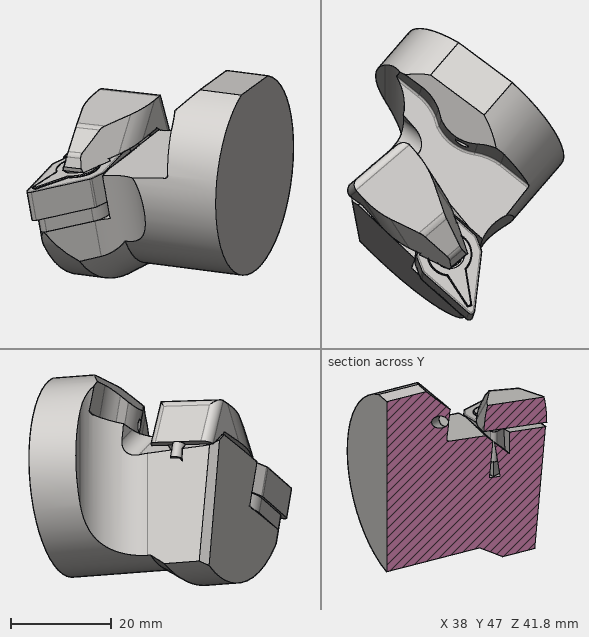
import cadquery as cq
import math


SHANK_RADIUS = 20.005
SHANK_FRONT_X = -21.0
HEAD_RADIUS = 23.0
HEAD_OFFSET_Y = SHANK_RADIUS - HEAD_RADIUS
HEAD_BLANK_LENGTH = 28.2
CONE_ANGLE = 32.0
FLAT_Z = 18.8
FLAT_FRONT_X = -8.95
CUT_SIZE = 94.0

RELIEF_X = -10.0
RELIEF_Y = 7.25
RELIEF_RADIUS = 10.4
CORNER_CHAMFER = 1.6
CORNER_CHAMFER_X = -34.9
CORNER_CHAMFER_TILT = 5.4

SEAT_CENTER = (-31.35, -16.0, 2.4)
SEAT_RISE_X = 0.105
SEAT_RISE_Y = 0.17
SEAT_NORMAL = cq.Vector(-SEAT_RISE_X, -SEAT_RISE_Y, 1)
SEAT = cq.Plane(origin=SEAT_CENTER, xDir=(1, 0, SEAT_RISE_X), normal=SEAT_NORMAL)

SIDE_EDGE_ANGLE = 32.0
FRONT_EDGE_ANGLE = SIDE_EDGE_ANGLE + 55.0
LONG_AXIS_ANGLE = (SIDE_EDGE_ANGLE + FRONT_EDGE_ANGLE) / 2
INSERT_HALF_WIDTH = 6.35
INSERT_HALF_SHORT = 6.3
INSERT_THICKNESS = 6.35
NOSE_RADIUS = 0.75
OBTUSE_RADIUS = 0.95
OBTUSE_REACH = INSERT_HALF_WIDTH + 0.95
LAND_WIDTH = 0.35
LAND_DROP = 0.1
BOSS_RADIUS = 4.45
BOSS_HEIGHT = 0.35
BOSS_TIP_REACH = 11.3
BOSS_ROOT_REACH = 3.95
BOSS_ROOT_HALF_WIDTH = 2.0
BOSS_TIP_HALF_WIDTH = 0.45
BOSS_CHAMFER = 0.2
HOLE_DIAMETER = 5.1
HOLE_MOUTH_DIAMETER = 6.0
HOLE_MOUTH_ANGLE = 90.0

SHIM_THICKNESS = 3.15
SHIM_HALF_WIDTH = 5.8
SHIM_CORNER_RADIUS = 4.7
POCKET_HALF_WIDTH = INSERT_HALF_WIDTH + 0.38
POCKET_DEPTH = INSERT_THICKNESS + SHIM_THICKNESS

DECK_HEIGHT = -0.05
FRONT_FACE_ANGLE = 85.0
FRONT_FACE_DISTANCE = 5.5
FLANK_DISTANCE = 5.75
HEAD_NOSE_RADIUS = 1.1
FLANK_ARC_START = 0.85
FLANK_ARC_RADIUS = 10.0
WALL_UPPER_X = 21.45
WALL_UPPER_Y = 24.8
WALL_UPPER_BEND = (20.05, 19.45)
WALL_BULGE_START = (18.9, 17.7)
WALL_BULGE_PEAK = (18.0, 14.05)
WALL_BULGE_END = (19.25, 8.95)
WALL_LOWER_BEND = (20.85, 3.52)
WALL_FILLET = 0.45

COOLANT_DIAMETER = 2.5
COOLANT_MOUTH = (-13.9, -5.15, 10.25)
COOLANT_TARGET = (-37.15, -26.3, 0.0)
COOLANT_DEPTH = 4.7

CLAMP_ANGLE = -10.0
CLAMP_CENTER = 0.35
CLAMP_HALF_WIDTH = 7.1
CLAMP_TOP = 6.6
CLAMP_SLANT = 47.5
CHEEK_ANGLE = 32.0
CHEEK_RADIUS = 8.95
CHEEK_START_Y = 19.25
CLAMP_NOSE_Y = -2.35
CLAMP_NOSE_HEIGHT = 1.18
CLAMP_BROW = (-1.05, 3.5)
CLAMP_CREST_Y = 5.75
CLAMP_BACK_TOP_Y = 22.7
CLAMP_BACK_FOOT_Y = 23.85
CLAMP_FOOT = -2.95
CLAMP_BACK_FILLET = 1.8
CREST_FILLET = 3.3
BROW_FILLET = 1.9
PAD_END_Y = 3.75
CLAMP_UNDERSIDE = 0.8

GROOVE_TOP_Y = 19.3
GROOVE_SIDE_X = 11.35
GROOVE_FILLET = 3.2

SCREW_DIAMETER = 2.5
SCREW_X = 0.45
SCREW_Y = 22.65
SCREW_END = -6.1


def in_seat(shape):
    """Move a shape from insert coordinates to its place in the tool."""
    return cq.Workplane(shape.val().moved(SEAT.location))


def in_clamp(shape):
    """Move a shape from clamp coordinates to its place in the tool."""
    turned = shape.translate((CLAMP_CENTER, 0, 0)).rotate((0, 0, 0), (0, 0, 1), CLAMP_ANGLE)
    return in_seat(turned)


def on_line(angle, distance, along):
    """Point on the line that runs at an angle, keeps a distance to the right of the origin."""
    a = math.radians(angle)
    return (
        distance * math.sin(a) + along * math.cos(a),
        along * math.sin(a) - distance * math.cos(a),
    )


def line_crossing(angle_a, distance_a, angle_b, distance_b):
    """Crossing point of two such lines."""
    turn = math.radians(angle_b - angle_a)
    along = (distance_b - distance_a * math.cos(turn)) / math.sin(turn)
    return on_line(angle_a, distance_a, along)


def near(point, height):
    """Selector for the edge next to a point of an outline."""
    return cq.selectors.NearestToPointSelector((*point, height))


def rhombus_corners(half_width):
    """Corners in order: cutting nose, obtuse corner, inner nose, obtuse corner."""
    return [
        line_crossing(SIDE_EDGE_ANGLE, side * half_width, FRONT_EDGE_ANGLE, front * half_width)
        for side, front in ((1, -1), (1, 1), (-1, 1), (-1, -1))
    ]


def rhombus(half_width, height):
    """Prism with the full rhombus as its plan, its top on local z = 0."""
    return cq.Workplane("XY").polyline(rhombus_corners(half_width)).close().extrude(-height)


def shank():
    return cq.Workplane("YZ").circle(SHANK_RADIUS).extrude(SHANK_FRONT_X)


def head():
    """Offset cylinder that blends into the shank along a cone around the shank axis."""
    cone_radius = SHANK_RADIUS + HEAD_BLANK_LENGTH * math.tan(math.radians(CONE_ANGLE))
    front_x = SHANK_FRONT_X - HEAD_BLANK_LENGTH
    cone = (
        cq.Workplane("XY")
        .polyline([(SHANK_FRONT_X, 0), (SHANK_FRONT_X, SHANK_RADIUS), (front_x, cone_radius), (front_x, 0)])
        .close()
        .revolve(360, (0, 0, 0), (1, 0, 0))
    )
    cylinder = (
        cq.Workplane("YZ", origin=(SHANK_FRONT_X, HEAD_OFFSET_Y, 0))
        .circle(HEAD_RADIUS)
        .extrude(-HEAD_BLANK_LENGTH)
    )
    return cone.intersect(cylinder)


def head_envelope():
    """Prism along the insert axis: front face, rounded nose, flat flank and concave run-out."""
    nose = line_crossing(SIDE_EDGE_ANGLE, FLANK_DISTANCE, FRONT_FACE_ANGLE, -FRONT_FACE_DISTANCE)
    front_end = on_line(FRONT_FACE_ANGLE, -FRONT_FACE_DISTANCE, CUT_SIZE)
    arc_start = on_line(SIDE_EDGE_ANGLE, FLANK_DISTANCE, FLANK_ARC_START)
    center_x, center_y = on_line(SIDE_EDGE_ANGLE, FLANK_DISTANCE + FLANK_ARC_RADIUS, FLANK_ARC_START)
    arc_end = (center_x + FLANK_ARC_RADIUS, center_y)
    outline = (
        cq.Workplane("XY", origin=(0, 0, -CUT_SIZE / 2))
        .moveTo(*nose)
        .lineTo(*arc_start)
        .tangentArcPoint(arc_end, relative=False)
        .lineTo(arc_end[0], -CUT_SIZE)
        .lineTo(CUT_SIZE, -CUT_SIZE)
        .lineTo(CUT_SIZE, front_end[1])
        .lineTo(*front_end)
        .close()
        .extrude(CUT_SIZE)
    )
    return in_seat(outline.edges(near(nose, 0)).fillet(HEAD_NOSE_RADIUS))


def top_flat_cutter():
    """Removes the top of the shank down to a flat with a 45 degree slope in front of it."""
    return (
        cq.Workplane("XZ", origin=(0, CUT_SIZE / 2, 0))
        .polyline(
            [
                (0, FLAT_Z),
                (FLAT_FRONT_X, FLAT_Z),
                (FLAT_FRONT_X - FLAT_Z, 0),
                (FLAT_FRONT_X - FLAT_Z, CUT_SIZE),
                (0, CUT_SIZE),
            ]
        )
        .close()
        .extrude(CUT_SIZE)
    )


def side_relief_cutter():
    """Removes the +Y side of the head up to a concave shoulder."""
    arc_x = RELIEF_X - RELIEF_RADIUS
    return (
        cq.Workplane("XY", origin=(0, 0, -CUT_SIZE / 2))
        .moveTo(-CUT_SIZE, RELIEF_Y)
        .lineTo(arc_x, RELIEF_Y)
        .tangentArcPoint((RELIEF_X, RELIEF_Y + RELIEF_RADIUS), relative=False)
        .lineTo(RELIEF_X, CUT_SIZE)
        .lineTo(-CUT_SIZE, CUT_SIZE)
        .close()
        .extrude(CUT_SIZE)
    )


def corner_chamfer_cutter():
    """45 degree chamfer between the front face and the +Y side, leaning with the front face."""
    inner_y = RELIEF_Y - CORNER_CHAMFER
    return (
        cq.Workplane("XY", origin=(CORNER_CHAMFER_X, inner_y, -CUT_SIZE / 2))
        .polyline([(-CUT_SIZE, -CUT_SIZE), (CUT_SIZE, CUT_SIZE), (-CUT_SIZE, CUT_SIZE)])
        .close()
        .extrude(CUT_SIZE)
        .rotate((CORNER_CHAMFER_X, 0, 0), (CORNER_CHAMFER_X, 1, 0), -CORNER_CHAMFER_TILT)
    )


def deck_cutter():
    """Opens the space above the seat plane, up to the wavy wall behind it."""
    cutter = (
        cq.Workplane("XY", origin=(0, 0, DECK_HEIGHT))
        .moveTo(WALL_UPPER_X, CUT_SIZE)
        .lineTo(WALL_UPPER_X, WALL_UPPER_Y)
        .tangentArcPoint(WALL_UPPER_BEND, relative=False)
        .lineTo(*WALL_BULGE_START)
        .threePointArc(WALL_BULGE_PEAK, WALL_BULGE_END)
        .tangentArcPoint(WALL_LOWER_BEND, relative=False)
        .lineTo(WALL_LOWER_BEND[0], -CUT_SIZE)
        .lineTo(-CUT_SIZE, -CUT_SIZE)
        .lineTo(-CUT_SIZE, CUT_SIZE)
        .close()
        .extrude(CUT_SIZE)
    )
    wall_edges = cq.selectors.BoxSelector(
        (0, -CUT_SIZE, DECK_HEIGHT - 0.45), (CUT_SIZE / 2, CUT_SIZE * 0.9, DECK_HEIGHT + 0.45)
    )
    return in_seat(cutter.faces("<Z").edges(wall_edges).fillet(WALL_FILLET))


def groove_cutter():
    """Slanted groove for the clamp leg, falling away square to the slant of the clamp."""
    box = (
        cq.Workplane("XY")
        .box(CUT_SIZE, CUT_SIZE, CUT_SIZE, centered=False)
        .translate((GROOVE_SIDE_X - CUT_SIZE, 0, 0))
        .edges(near((GROOVE_SIDE_X, CUT_SIZE / 2), 0))
        .fillet(GROOVE_FILLET)
        .rotate((0, 0, 0), (1, 0, 0), -CLAMP_SLANT)
        .translate((0, GROOVE_TOP_Y, DECK_HEIGHT))
    )
    return in_clamp(box)


def pocket_cutter():
    """Room for the insert and the shim, open at the top."""
    return in_seat(rhombus(POCKET_HALF_WIDTH, CUT_SIZE).translate((0, 0, CUT_SIZE - POCKET_DEPTH)))


def shim():
    """Seat plate under the insert, part of the holder."""
    nose, side_corner, _, front_corner = rhombus_corners(SHIM_HALF_WIDTH)
    middle = -SHIM_THICKNESS / 2
    plate = rhombus(SHIM_HALF_WIDTH, SHIM_THICKNESS)
    plate = plate.edges(near(nose, middle)).fillet(HEAD_NOSE_RADIUS)
    plate = plate.edges(near(side_corner, middle)).fillet(SHIM_CORNER_RADIUS)
    plate = plate.edges(near(front_corner, middle)).fillet(SHIM_CORNER_RADIUS)
    return in_seat(plate.translate((0, 0, -INSERT_THICKNESS)))


def coolant_cutter():
    """Blind hole in the wall that points at the cutting nose."""
    mouth = cq.Vector(*COOLANT_MOUTH)
    direction = (mouth - cq.Vector(*COOLANT_TARGET)).normalized()
    return cq.Workplane(
        cq.Solid.makeCylinder(
            COOLANT_DIAMETER / 2, 2 * COOLANT_DEPTH, mouth - direction * COOLANT_DEPTH, direction
        )
    )


def clamp_cheeks():
    """Prism along the slant of the clamp, with sides that bend inward to a wedge at the nose."""
    angle = math.radians(CHEEK_ANGLE)
    bend_x = CLAMP_HALF_WIDTH - CHEEK_RADIUS * (1 - math.cos(angle))
    bend_y = -CHEEK_RADIUS * math.sin(angle)
    tip_y = bend_y - bend_x / math.tan(angle)
    slant = math.radians(CLAMP_SLANT)
    across_slant = cq.Plane(
        origin=(0, CHEEK_START_Y, CLAMP_TOP), xDir=(1, 0, 0), normal=(0, math.sin(slant), math.cos(slant))
    )
    return (
        cq.Workplane(across_slant)
        .moveTo(CLAMP_HALF_WIDTH, CUT_SIZE)
        .lineTo(CLAMP_HALF_WIDTH, 0)
        .tangentArcPoint((bend_x, bend_y), relative=False)
        .lineTo(0, tip_y)
        .lineTo(-bend_x, bend_y)
        .tangentArcPoint((-CLAMP_HALF_WIDTH, 0), relative=False)
        .lineTo(-CLAMP_HALF_WIDTH, CUT_SIZE)
        .close()
        .extrude(CUT_SIZE / 2, both=True)
    )


def clamp():
    """Side profile of the clamp across its full width, rounded at the back and trimmed to the cheeks."""
    foot_y = GROOVE_TOP_Y + (DECK_HEIGHT - CLAMP_FOOT) / math.tan(math.radians(CLAMP_SLANT))
    knee_y = GROOVE_TOP_Y - (CLAMP_UNDERSIDE - DECK_HEIGHT) / math.tan(math.radians(CLAMP_SLANT))
    block = (
        cq.Workplane("YZ", origin=(-CLAMP_HALF_WIDTH, 0, 0))
        .polyline(
            [
                (CLAMP_NOSE_Y, BOSS_HEIGHT),
                (CLAMP_NOSE_Y, CLAMP_NOSE_HEIGHT),
                CLAMP_BROW,
                (CLAMP_CREST_Y, CLAMP_TOP),
                (CLAMP_BACK_TOP_Y, CLAMP_TOP),
                (CLAMP_BACK_FOOT_Y, CLAMP_FOOT),
                (foot_y, CLAMP_FOOT),
                (knee_y, CLAMP_UNDERSIDE),
                (PAD_END_Y, CLAMP_UNDERSIDE),
                (PAD_END_Y, BOSS_HEIGHT),
            ]
        )
        .close()
        .extrude(2 * CLAMP_HALF_WIDTH)
    )
    back_middle_y = (CLAMP_BACK_TOP_Y + CLAMP_BACK_FOOT_Y) / 2
    back_middle_z = (CLAMP_TOP + CLAMP_FOOT) / 2
    rounded_corners = block
    for side in (-CLAMP_HALF_WIDTH, CLAMP_HALF_WIDTH):
        corner = near((side, back_middle_y), back_middle_z)
        rounded_corners = rounded_corners.edges(corner).fillet(CLAMP_BACK_FILLET)
    rounded_top = block.edges(near((0, CLAMP_BACK_TOP_Y), CLAMP_TOP)).fillet(CLAMP_BACK_FILLET)
    rounded_top = rounded_top.edges(near((0, CLAMP_CREST_Y), CLAMP_TOP)).fillet(CREST_FILLET)
    rounded_top = rounded_top.edges(near((0, CLAMP_BROW[0]), CLAMP_BROW[1])).fillet(BROW_FILLET)
    return in_clamp(rounded_top.intersect(rounded_corners).intersect(clamp_cheeks()))


def clamp_screw():
    """Lower end of the clamp screw, showing through the +Y side of the head."""
    screw = (
        cq.Workplane("XY", origin=(SCREW_X, SCREW_Y, SCREW_END))
        .circle(SCREW_DIAMETER / 2)
        .extrude(CLAMP_FOOT - SCREW_END)
    )
    return in_clamp(screw)


def make_holder():
    body = shank().union(head()).intersect(head_envelope())
    body = body.cut(top_flat_cutter()).cut(side_relief_cutter()).cut(corner_chamfer_cutter())
    body = body.cut(deck_cutter()).cut(groove_cutter()).cut(pocket_cutter())
    body = body.cut(coolant_cutter())
    return body.union(shim()).union(clamp_screw()).union(clamp())


def insert_boss():
    """Raised round land with a wedge that reaches into the cutting nose."""
    wedge = (
        cq.Workplane("XY")
        .polyline(
            [
                (0, -BOSS_ROOT_HALF_WIDTH),
                (-BOSS_ROOT_REACH, -BOSS_ROOT_HALF_WIDTH),
                (-BOSS_TIP_REACH, -BOSS_TIP_HALF_WIDTH),
                (-BOSS_TIP_REACH, BOSS_TIP_HALF_WIDTH),
                (-BOSS_ROOT_REACH, BOSS_ROOT_HALF_WIDTH),
                (0, BOSS_ROOT_HALF_WIDTH),
            ]
        )
        .close()
        .extrude(BOSS_HEIGHT)
    )
    disc = cq.Workplane("XY").circle(BOSS_RADIUS).extrude(BOSS_HEIGHT)
    boss = disc.union(wedge).faces(">Z").chamfer(BOSS_CHAMFER)
    return boss.rotate((0, 0, 0), (0, 0, 1), LONG_AXIS_ANGLE)


def make_insert():
    """Rhombic plate with cut obtuse corners, a bevelled land, a raised boss and a through hole."""
    corner_trim = (
        cq.Workplane("XY")
        .rect(CUT_SIZE, 2 * INSERT_HALF_SHORT)
        .extrude(-INSERT_THICKNESS)
        .rotate((0, 0, 0), (0, 0, 1), LONG_AXIS_ANGLE)
    )
    nose, _, inner_nose, _ = rhombus_corners(INSERT_HALF_WIDTH)
    plate = rhombus(INSERT_HALF_WIDTH, INSERT_THICKNESS).intersect(corner_trim)
    for corner in (nose, inner_nose):
        plate = plate.edges(near(corner, -INSERT_THICKNESS / 2)).fillet(NOSE_RADIUS)
    trim_corners = cq.selectors.BoxSelector(
        (-OBTUSE_REACH, -OBTUSE_REACH, -INSERT_THICKNESS), (OBTUSE_REACH, OBTUSE_REACH, 0)
    )
    plate = plate.edges("|Z").edges(trim_corners).fillet(OBTUSE_RADIUS)
    plate = plate.faces(">Z").chamfer(LAND_WIDTH, LAND_DROP).union(insert_boss())
    plate = (
        plate.faces(">Z")
        .workplane(origin=(0, 0, 0))
        .cskHole(HOLE_DIAMETER, HOLE_MOUTH_DIAMETER, HOLE_MOUTH_ANGLE)
    )
    return in_seat(plate)


holder = make_holder()
insert = make_insert()
result = cq.Compound.makeCompound([holder.val(), insert.val()])